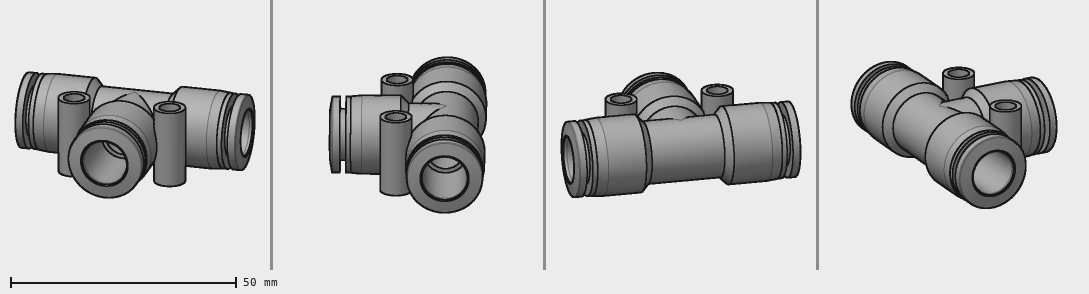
import cadquery as cq
arm_length = 25.8
body_radius = 17.5 / 2
neck_radius = 7.0

neck_end = 8.3
shoulder_end = 10.0
taper_start = 18.75
cap_start = 21.1
cap_end = 22.2
flange_start = 23.55
flange_rim = 25.3

taper_end_radius = 8.5
cap_radius = 8.45
collet_radius = 5.75
flange_radius = 8.45
rim_fillet = 0.2

bore_radius = 4.0
socket_radius = 5.0
socket_bottom = shoulder_end
mouth_radius = 5.4
mouth_chamfer_radius = 5.1
mouth_chamfer_depth = 0.2
lead_in_depth = 0.95

eyelet_offset = 11.0
eyelet_radius = 3.5
eyelet_hole_radius = 2.3
eyelet_height = 2 * body_radius

arm_angles = (0, 180, -90)


def revolve_about_x(points):
    """Solid of revolution about X from (station, radius) points, closed along the axis."""
    first_station = points[0][0]
    last_station = points[-1][0]
    outline = [(first_station, 0), *points, (last_station, 0)]
    return cq.Workplane("XY").polyline(outline).close().revolve(360, (0, 0, 0), (1, 0, 0))


def make_sleeve():
    """Shouldered outer body with the tapered end and cap."""
    return revolve_about_x([
        (neck_end, neck_radius),
        (shoulder_end, body_radius),
        (taper_start, body_radius),
        (cap_start, taper_end_radius),
        (cap_start, cap_radius),
        (cap_end, cap_radius),
    ])


def make_release_collet():
    """Thin collet stem and the release flange with its conical front face."""
    flange = revolve_about_x([
        (flange_start, flange_radius),
        (flange_rim, flange_radius),
        (arm_length, mouth_radius),
    ])
    rim_centre = (flange_rim, 0, 0)
    flange = flange.edges(cq.NearestToPointSelector(rim_centre)).fillet(rim_fillet)
    stem = revolve_about_x([(cap_end, collet_radius), (flange_start, collet_radius)])
    return stem.union(flange)


def make_neck():
    """Plain tube from the tee centre to the shoulder."""
    return revolve_about_x([(0, neck_radius), (neck_end, neck_radius)])


def make_passage():
    """Through bore, tube socket and flared mouth."""
    return revolve_about_x([
        (0, bore_radius),
        (socket_bottom, bore_radius),
        (socket_bottom, socket_radius),
        (arm_length - lead_in_depth, socket_radius),
        (arm_length - mouth_chamfer_depth, mouth_chamfer_radius),
        (arm_length, mouth_radius),
    ])


def make_upright(radius):
    """Pair of vertical cylinders at the eyelet positions, centred on Z = 0."""
    centres = [(side * eyelet_offset, -eyelet_offset) for side in (-1, 1)]
    base = cq.Workplane("XY").workplane(offset=-eyelet_height / 2)
    return base.pushPoints(centres).circle(radius).extrude(eyelet_height)


def place_on_arms(shape):
    """Union of the shape turned onto every arm."""
    copies = [shape.rotate((0, 0, 0), (0, 0, 1), angle) for angle in arm_angles]
    combined = copies[0]
    for copy in copies[1:]:
        combined = combined.union(copy)
    return combined


def make_tee_core():
    """Straight run with the branch neck, meeting at mitred seams."""
    run = cq.Workplane("YZ").workplane(offset=-neck_end).circle(neck_radius).extrude(2 * neck_end)
    branch = make_neck().rotate((0, 0, 0), (0, 0, 1), -90)
    return run.union(branch)


arm = make_sleeve().union(make_release_collet())
result = make_tee_core().union(place_on_arms(arm))
result = result.union(make_upright(eyelet_radius))
result = result.cut(make_upright(eyelet_hole_radius))
result = result.cut(place_on_arms(make_passage()))